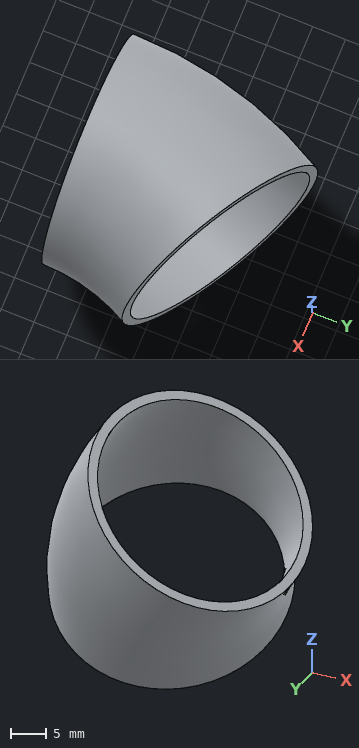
import cadquery as cq

outer_diameter = 35.0
wall_thickness = 1.5
bend_radius = 45.0
bend_angle = 30.0

inner_diameter = outer_diameter - 2 * wall_thickness


def make_elbow():
    """Tube section on the XZ plane, revolved about a Z-parallel axis on the +X side."""
    section = cq.Workplane("XZ").circle(outer_diameter / 2).circle(inner_diameter / 2)
    return section.revolve(bend_angle, (bend_radius, 1, 0), (bend_radius, 0, 0))


result = make_elbow()